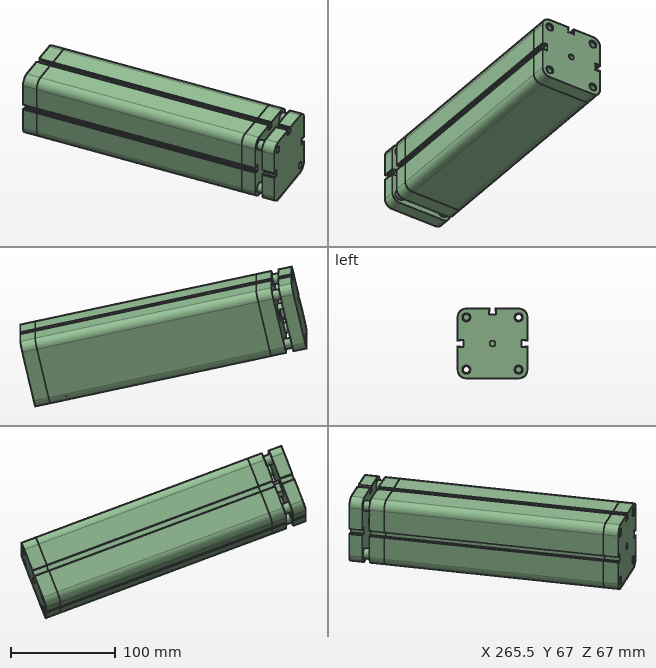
import cadquery as cq

LENGTH = 265.5
SIDE = 67.0
CORNER_RADIUS = 8.5

CAP_THICKNESS = 14.5
PLATE_THICKNESS = 12.7
GAP = 7.2
PLATE_START = LENGTH - PLATE_THICKNESS
FRONT_CAP_END = PLATE_START - GAP
FRONT_CAP_START = FRONT_CAP_END - CAP_THICKNESS
TUBE_LENGTH = FRONT_CAP_START - CAP_THICKNESS
SHAFT_LENGTH = PLATE_START - CAP_THICKNESS

SLOT_OPENING = 5.5
HOUSING_GROOVE_WIDTH = 7.2
PLATE_GROOVE_WIDTH = 6.0
SLOT_DEPTH = 5.5
SLOT_LIP = 2.0
SLOT_ANGLES = (0, 90, -90)

GUIDE_DIAMETER = 10.0
GUIDE_BORE = 6.5
GUIDE_OFFSET = 25.0
HOLLOW_CORNERS = [(-GUIDE_OFFSET, GUIDE_OFFSET), (GUIDE_OFFSET, -GUIDE_OFFSET)]
SOLID_CORNERS = [(GUIDE_OFFSET, GUIDE_OFFSET), (-GUIDE_OFFSET, -GUIDE_OFFSET)]
ALL_CORNERS = HOLLOW_CORNERS + SOLID_CORNERS

HOLE_DIAMETER = 6.5
HOLE_CHAMFER = 0.8
COUNTERSINK_ANGLE = 90
PORT_DIAMETER = 5.5

ROD_DIAMETER = 16.0
ACROSS_FLATS = 13.5
FLAT_LENGTH = 5.3

CENTRE = [(0, 0)]


def cylinders(start, length, diameter, centres):
    """Cylinders along +X at the given (Y, Z) centres."""
    return (
        cq.Workplane("YZ", origin=(start, 0, 0))
        .pushPoints(centres)
        .circle(diameter / 2)
        .extrude(length)
    )


def t_slot(start, length, groove_width):
    """Cutter for a slot in the top face, its groove wider than its opening."""
    top = SIDE / 2
    groove_height = SLOT_DEPTH - SLOT_LIP
    from_rear_face = (False, True, False)
    opening = (
        cq.Workplane("XY", origin=(start, 0, top - SLOT_DEPTH))
        .box(length, SLOT_OPENING, SLOT_DEPTH, centered=from_rear_face)
    )
    groove = (
        cq.Workplane("XY", origin=(start, 0, top - SLOT_DEPTH))
        .box(length, groove_width, groove_height, centered=from_rear_face)
    )
    return opening.union(groove)


def slotted_block(start, length, groove_width):
    """Rounded square block along X with the same slot in three of its faces."""
    block = (
        cq.Workplane("YZ", origin=(start, 0, 0))
        .rect(SIDE, SIDE)
        .extrude(length)
        .edges("|X")
        .fillet(CORNER_RADIUS)
    )
    slot = t_slot(start, length, groove_width)
    for angle in SLOT_ANGLES:
        block = block.cut(slot.rotate((0, 0, 0), (1, 0, 0), angle))
    return block


def make_rear_cap():
    """End cap with four countersunk corner holes and a central port."""
    cap = slotted_block(0, CAP_THICKNESS, HOUSING_GROOVE_WIDTH)
    cap = cap.cut(cylinders(0, CAP_THICKNESS, PORT_DIAMETER, CENTRE))
    return (
        cap.faces("<X")
        .workplane(origin=(0, 0, 0))
        .pushPoints(ALL_CORNERS)
        .cskHole(HOLE_DIAMETER, HOLE_DIAMETER + 2 * HOLE_CHAMFER, COUNTERSINK_ANGLE)
    )


def make_guided_block(start, length):
    """Housing section with passages for the piston rod and the guide rods."""
    block = slotted_block(start, length, HOUSING_GROOVE_WIDTH)
    block = block.cut(cylinders(start, length, GUIDE_DIAMETER, ALL_CORNERS))
    return block.cut(cylinders(start, length, ROD_DIAMETER, CENTRE))


def make_piston_rod():
    """Round rod with a flat above and below its outer end, each with a 45 degree run-out."""
    rod = cylinders(CAP_THICKNESS, SHAFT_LENGTH, ROD_DIAMETER, CENTRE)
    flat_height = ACROSS_FLATS / 2
    flat_start = PLATE_START - FLAT_LENGTH
    cut_height = ROD_DIAMETER / 2
    runout = cut_height - flat_height
    flat = (
        cq.Workplane("XZ")
        .moveTo(flat_start, flat_height)
        .lineTo(PLATE_START, flat_height)
        .lineTo(PLATE_START, cut_height)
        .lineTo(flat_start - runout, cut_height)
        .close()
        .extrude(ROD_DIAMETER / 2, both=True)
    )
    return rod.cut(flat).cut(flat.mirror("XY"))


def make_guide_plate():
    """Front plate carrying four guide rods; two opposite rods are bored right through."""
    plate = slotted_block(PLATE_START, PLATE_THICKNESS, PLATE_GROOVE_WIDTH)
    plate = plate.union(cylinders(CAP_THICKNESS, SHAFT_LENGTH, GUIDE_DIAMETER, ALL_CORNERS))
    bore_length = LENGTH - CAP_THICKNESS
    return plate.cut(cylinders(CAP_THICKNESS, bore_length, GUIDE_BORE, HOLLOW_CORNERS))


rear_cap = make_rear_cap()
tube = make_guided_block(CAP_THICKNESS, TUBE_LENGTH)
front_cap = make_guided_block(FRONT_CAP_START, CAP_THICKNESS)
piston_rod = make_piston_rod()
guide_plate = make_guide_plate()

result = cq.Compound.makeCompound([
    rear_cap.solids().val(),
    tube.solids().val(),
    front_cap.solids().val(),
    piston_rod.solids().val(),
    guide_plate.solids().val(),
])